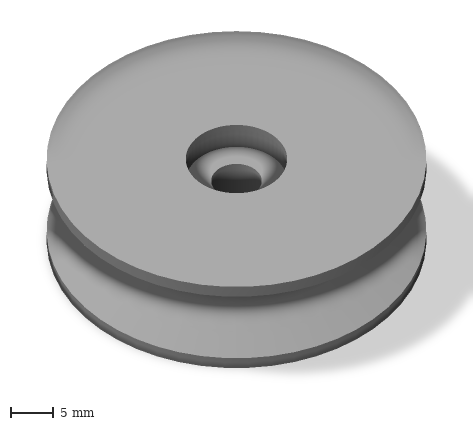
import cadquery as cq
import math

outer_diameter = 45.0
width = 13.0
groove_diameter = 30.0
groove_radius = 2.25
flank_angle = math.radians(25.0)
bore_diameter = 6.0
recess_diameter = 12.0
recess_depth = 3.5

outer_radius = outer_diameter / 2
half_width = width / 2
groove_bottom = groove_diameter / 2
tangent_radius = groove_bottom + groove_radius * (1 - math.sin(flank_angle))
tangent_height = groove_radius * math.cos(flank_angle)
rim_edge_height = tangent_height + (outer_radius - tangent_radius) * math.tan(flank_angle)


def pulley_body():
    """Revolve the half section, with radius along X and height along Z."""
    section = (
        cq.Workplane("XZ")
        .moveTo(0, -half_width)
        .lineTo(outer_radius, -half_width)
        .lineTo(outer_radius, -rim_edge_height)
        .lineTo(tangent_radius, -tangent_height)
        .threePointArc((groove_bottom, 0), (tangent_radius, tangent_height))
        .lineTo(outer_radius, rim_edge_height)
        .lineTo(outer_radius, half_width)
        .lineTo(0, half_width)
        .close()
    )
    return section.revolve(360, (0, 0, 0), (0, 1, 0))


result = (
    pulley_body()
    .faces(">Z")
    .workplane(origin=(0, 0, 0))
    .cboreHole(bore_diameter, recess_diameter, recess_depth)
)